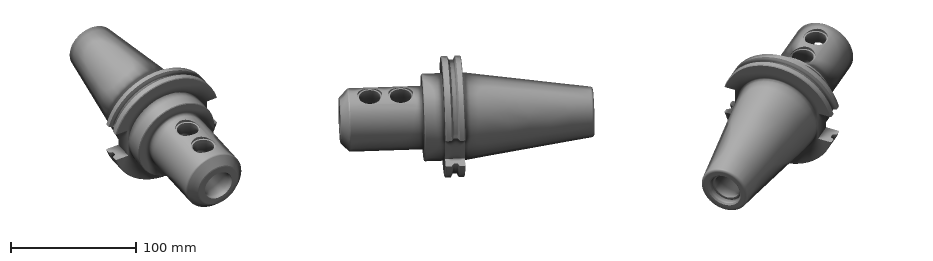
import cadquery as cq
import math

total_length = 203.2
taper_length = 102.5
flange_start = 104.9
flange_width = 15.9
collar_end = 136.8
flange_end = flange_start + flange_width

taper_large_radius = 70.0 / 2
taper_slope = 7 / 48
taper_small_radius = taper_large_radius - taper_length * taper_slope
flange_radius = 97.3 / 2
collar_radius = 70.1 / 2
neck_radius = 50.8 / 2

taper_end_fillet = 2.2
flange_root_fillet = 1.0
flange_chamfer = 0.6
collar_chamfer = 0.6
neck_root_fillet = 1.6
nose_chamfer = 7.1
nose_shoulder_fillet = 1.6
nose_rim_chamfer = 0.5

groove_center = 112.5
groove_floor_width = 3.3
groove_top_width = 6.5
groove_depth = 3.0
groove_floor_radius = flange_radius - groove_depth

slot_width = 26.0
slot_floor_front = 35.4
slot_floor_back = 37.4

through_diameter = 22.0
rear_bore_diameter = 26.6
rear_bore_depth = 3.9
rear_step_diameter = 26.0
rear_step_depth = 5.5
rear_mouth_diameter = 29.0
tool_bore_diameter = 25.0
tool_bore_depth = 61.0

screw_diameter = 17.3
screw_recess_diameter = 20.0
screw_recess_floor = 23.0
screw_first_x = 154.2
screw_spacing = 24.8


def make_body():
    """Revolved outline of the taper, flange, collar and neck."""
    groove_half_top = groove_top_width / 2
    groove_half_floor = groove_floor_width / 2
    nose_radius = neck_radius - nose_chamfer
    arc_center_x = collar_end + neck_root_fillet
    arc_center_r = neck_radius + neck_root_fillet
    arc_offset = neck_root_fillet * math.sqrt(0.5)
    root_arc_reach = flange_root_fillet * math.sqrt(0.5)
    root_arc_rise = flange_root_fillet - root_arc_reach
    root_arc_start = flange_start - flange_root_fillet
    profile = (
        cq.Workplane("XY")
        .lineTo(0, taper_small_radius)
        .lineTo(taper_length, taper_large_radius)
        .lineTo(root_arc_start, taper_large_radius)
        .threePointArc(
            (root_arc_start + root_arc_reach, taper_large_radius + root_arc_rise),
            (flange_start, taper_large_radius + flange_root_fillet),
        )
        .lineTo(flange_start, flange_radius - flange_chamfer)
        .lineTo(flange_start + flange_chamfer, flange_radius)
        .lineTo(groove_center - groove_half_top, flange_radius)
        .lineTo(groove_center - groove_half_floor, groove_floor_radius)
        .lineTo(groove_center + groove_half_floor, groove_floor_radius)
        .lineTo(groove_center + groove_half_top, flange_radius)
        .lineTo(flange_end - flange_chamfer, flange_radius)
        .lineTo(flange_end, flange_radius - flange_chamfer)
        .lineTo(flange_end, collar_radius)
        .lineTo(collar_end - collar_chamfer, collar_radius)
        .lineTo(collar_end, collar_radius - collar_chamfer)
        .lineTo(collar_end, arc_center_r)
        .threePointArc(
            (arc_center_x - arc_offset, arc_center_r - arc_offset),
            (arc_center_x, neck_radius),
        )
        .lineTo(total_length - nose_chamfer, neck_radius)
        .lineTo(total_length - nose_rim_chamfer, nose_radius + nose_rim_chamfer)
        .lineTo(total_length, nose_radius - nose_rim_chamfer)
        .lineTo(total_length, 0)
        .close()
    )
    body = profile.revolve(360, (0, 0, 0), (1, 0, 0))
    body = body.faces("<X").edges().fillet(taper_end_fillet)
    shoulder_center = (total_length - nose_chamfer, 0, 0)
    shoulder = cq.selectors.NearestToPointSelector(shoulder_center)
    return body.edges("%CIRCLE").edges(shoulder).fillet(nose_shoulder_fillet)


def make_slot(side, floor):
    """Cutter for one drive slot; side is -1 for -Y and +1 for +Y."""
    return (
        cq.Workplane("XY")
        .box(flange_width, flange_radius, slot_width, centered=(False, True, True))
        .translate((flange_start, side * (floor + flange_radius / 2), 0))
    )


def make_axial_bores():
    """Through bore, chamfered and stepped rear counterbore, and tool bore."""
    mouth_radius = rear_mouth_diameter / 2
    rear_radius = rear_bore_diameter / 2
    step_radius = rear_step_diameter / 2
    through_radius = through_diameter / 2
    tool_radius = tool_bore_diameter / 2
    tool_bore_start = total_length - tool_bore_depth
    return (
        cq.Workplane("XY")
        .lineTo(0, mouth_radius)
        .lineTo(mouth_radius - rear_radius, rear_radius)
        .lineTo(rear_bore_depth, rear_radius)
        .lineTo(rear_step_depth, step_radius)
        .lineTo(rear_step_depth, through_radius)
        .lineTo(tool_bore_start, through_radius)
        .lineTo(tool_bore_start, tool_radius)
        .lineTo(total_length, tool_radius)
        .lineTo(total_length, 0)
        .close()
        .revolve(360, (0, 0, 0), (1, 0, 0))
    )


def make_screw_hole(x):
    """Radial hole from +Z into the tool bore, with a flat-bottomed recess."""
    recess_radius = screw_recess_diameter / 2
    screw_radius = screw_diameter / 2
    return (
        cq.Workplane("XZ")
        .lineTo(screw_radius, 0)
        .lineTo(screw_radius, screw_recess_floor)
        .lineTo(recess_radius, screw_recess_floor)
        .lineTo(recess_radius, neck_radius)
        .lineTo(0, neck_radius)
        .close()
        .revolve(360, (0, 0, 0), (0, 1, 0))
        .translate((x, 0, 0))
    )


result = make_body()
result = result.cut(make_slot(-1, slot_floor_front))
result = result.cut(make_slot(1, slot_floor_back))
result = result.cut(make_axial_bores())
for index in range(2):
    result = result.cut(make_screw_hole(screw_first_x + index * screw_spacing))